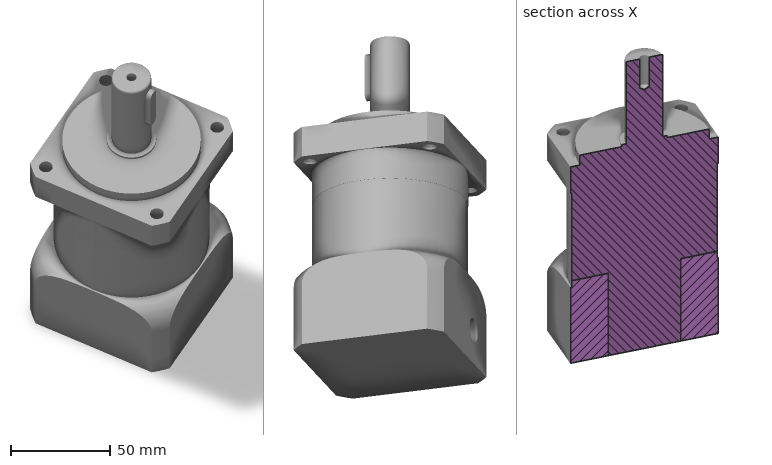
import cadquery as cq
import math

base_corner_top = 33.0
adapter_top = 49.5
ring_bottom = 85.0
flange_bottom = 101.5
flange_top = 117.5
pilot_top = 123.4
collar_top = 124.5
shaft_top = 173.5

square_width = 80.0
corner_radius = 52.0
shoulder_radius = 12.5
base_top = base_corner_top + shoulder_radius

body_diameter = 78.6
ring_diameter = 79.0
pilot_diameter = 70.0
collar_diameter = 25.0
shaft_diameter = 20.0
shaft_end_round = 1.0
hub_diameter = 38.9

bolt_circle_diameter = 90.0
bolt_hole_diameter = 7.0
bolt_count = 4
first_bolt_angle = 45

centre_hole_diameter = 5.0
centre_hole_depth = 17.4
drill_point_angle = 118

access_hole_diameter = 12.5
access_hole_y = -13.4
access_hole_z = 18.0

key_width = 6.0
key_length = 25.0
key_centre_z = 156.2
key_outer_x = 12.5


def cylinder(diameter, bottom, top):
    """Vertical cylinder on the main axis."""
    return cq.Workplane("XY").workplane(offset=bottom).circle(diameter / 2).extrude(top - bottom)


def square_block(bottom, top):
    """Vertical square block centred on the main axis."""
    return cq.Workplane("XY").workplane(offset=bottom).rect(square_width, square_width).extrude(top - bottom)


def make_base():
    """Square base, turned so that its corners end in a quarter-round shoulder."""
    shoulder_inner_radius = corner_radius - shoulder_radius
    arc_middle_offset = shoulder_radius * math.sqrt(0.5)
    turned = (
        cq.Workplane("XZ")
        .lineTo(corner_radius, 0)
        .lineTo(corner_radius, base_corner_top)
        .threePointArc(
            (shoulder_inner_radius + arc_middle_offset, base_corner_top + arc_middle_offset),
            (shoulder_inner_radius, base_top),
        )
        .lineTo(0, base_top)
        .close()
        .revolve(360, (0, 0, 0), (0, 1, 0))
    )
    return turned.intersect(square_block(0, base_top))


def make_access_hole():
    """Sideways hole from the -X face to the middle of the adapter."""
    return (
        cq.Workplane("YZ")
        .center(access_hole_y, access_hole_z)
        .circle(access_hole_diameter / 2)
        .extrude(-square_width / 2)
    )


def make_adapter():
    """Motor adapter: square base and round spigot, bored through for the hub."""
    return (
        make_base()
        .union(cylinder(body_diameter, base_top, adapter_top))
        .cut(cylinder(hub_diameter, 0, adapter_top))
        .cut(make_access_hole())
    )


def make_flange():
    """Mounting flange with trimmed corners and four through holes."""
    bolt_holes = (
        cq.Workplane("XY")
        .workplane(offset=flange_bottom)
        .polarArray(bolt_circle_diameter / 2, first_bolt_angle, 360, bolt_count)
        .circle(bolt_hole_diameter / 2)
        .extrude(flange_top - flange_bottom)
    )
    blank = square_block(flange_bottom, flange_top)
    return blank.intersect(cylinder(2 * corner_radius, flange_bottom, flange_top)).cut(bolt_holes)


def make_centre_hole():
    """Blind drilled hole in the end of the shaft."""
    radius = centre_hole_diameter / 2
    point_depth = radius / math.tan(math.radians(drill_point_angle / 2))
    floor = shaft_top - centre_hole_depth
    return (
        cq.Workplane("XZ")
        .moveTo(0, floor - point_depth)
        .lineTo(radius, floor)
        .lineTo(radius, shaft_top)
        .lineTo(0, shaft_top)
        .close()
        .revolve(360, (0, 0, 0), (0, 1, 0))
    )


def make_shaft():
    """Output shaft with a rounded end, a fixed key and a centre hole."""
    shaft = cylinder(shaft_diameter, collar_top, shaft_top).faces(">Z").edges().fillet(shaft_end_round)
    key = (
        cq.Workplane("YZ")
        .center(0, key_centre_z)
        .slot2D(key_length, key_width, 90)
        .extrude(key_outer_x)
    )
    return shaft.union(key).cut(make_centre_hole())


def make_gearbox():
    """Gearbox: input hub, round body, ring, flange, pilot, collar and output shaft."""
    return (
        cylinder(hub_diameter, 0, adapter_top)
        .union(cylinder(body_diameter, adapter_top, ring_bottom))
        .union(cylinder(ring_diameter, ring_bottom, flange_bottom))
        .union(make_flange())
        .union(cylinder(pilot_diameter, flange_top, pilot_top))
        .union(cylinder(collar_diameter, pilot_top, collar_top))
        .union(make_shaft())
    )


adapter = make_adapter()
gearbox = make_gearbox()

result = cq.Compound.makeCompound([adapter.solids().val(), gearbox.solids().val()])